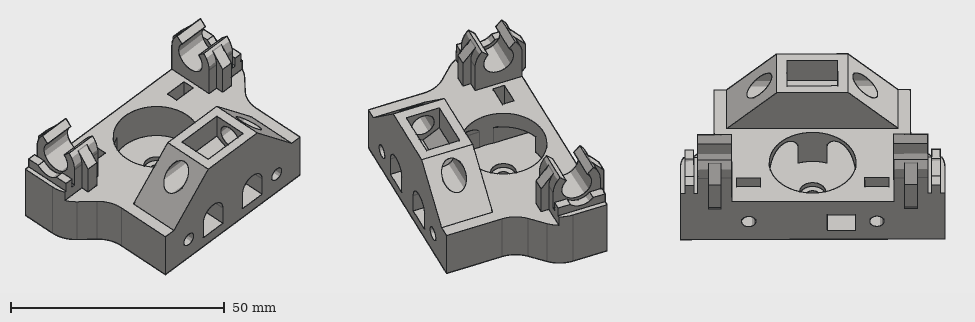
import cadquery as cq
import math

base_length = 37.5
base_height = 12.4
wide_half_width = 31.0
narrow_half_width = 23.0
taper_start_x = 12.0
taper_fillet = 8.0

rod_axis_z = 20.1
clip_width_x = 12.0
clip_outer_radius = clip_width_x / 2
rod_axis_x = clip_width_x / 2
rod_bore_radius = 3.8
clip_inner_y = 19.0
clip_outer_y = 27.0
end_block_height = 15.1
rib_height = 17.7
rib_inner_y = 27.85
rib_thickness = 2.05

lug_width = 3.0
lug_overhang = 2.0
lug_shoulder_z = 19.85
lug_tip_x = 1.55
lug_tip_z = 24.1
lug_foot_z = 10.0

gable_length = 13.0
gable_height = 11.7
gable_foot_half_width = 20.1
gable_x = base_length - gable_length / 2
gable_hole_radius = 2.9
gable_nut_flats = 8.45
gable_nut_length = 11.9

well_x = 13.0
well_radius = 10.15
well_floor_z = 2.9
floor_recess_radius = 3.05
floor_recess_depth = 1.25
floor_hole_radius = 1.6

channel_width = 6.65
channel_y = 6.7
channel_spring_z = 7.95

screw_y = 15.0
screw_z = 5.9
screw_radius = 1.7
screw_nut_flats = 5.65
screw_nut_thickness = 3.0
screw_nut_x = 5.0


def box(x_range, y_range, z_range):
    """Axis-aligned box given by its limits along X, Y and Z."""
    (x0, x1), (y0, y1), (z0, z1) = x_range, y_range, z_range
    return cq.Workplane("XY").box(x1 - x0, y1 - y0, z1 - z0, centered=False).translate((x0, y0, z0))


def cylinder(radius, start, direction, length):
    """Cylinder running from a start point along a direction."""
    return cq.Workplane(cq.Solid.makeCylinder(radius, length, cq.Vector(*start), cq.Vector(*direction)))


def extrude_along_y(sketch, y_start, y_end):
    """Extrude an XZ profile from y_start to y_end; the XZ plane normal is -Y."""
    return sketch.extrude(y_start - y_end).translate((0, y_start, 0))


def footprint(height):
    """Base outline extruded to a height, with rounded taper corners."""
    taper_end_x = taper_start_x + wide_half_width - narrow_half_width
    outline = [
        (0, wide_half_width),
        (taper_start_x, wide_half_width),
        (taper_end_x, narrow_half_width),
        (base_length, narrow_half_width),
        (base_length, -narrow_half_width),
        (taper_end_x, -narrow_half_width),
        (taper_start_x, -wide_half_width),
        (0, -wide_half_width),
    ]
    block = cq.Workplane("XY").polyline(outline).close().extrude(height)
    taper_corners = cq.selectors.BoxSelector(
        (taper_start_x / 2, -base_length, 0), ((taper_end_x + base_length) / 2, base_length, height)
    )
    return block.edges("|Z").edges(taper_corners).fillet(taper_fillet)


def lug():
    """Flat plate that follows the clip and stands out on both sides of it."""
    outer_x = clip_width_x + lug_overhang
    profile = [
        (0, lug_foot_z),
        (-lug_overhang, base_height),
        (-lug_overhang, lug_shoulder_z),
        (lug_tip_x, lug_tip_z),
        (clip_width_x - lug_tip_x, lug_tip_z),
        (outer_x, lug_shoulder_z),
        (outer_x, base_height),
        (clip_width_x, lug_foot_z),
    ]
    lug_y = (clip_inner_y + clip_outer_y) / 2
    sketch = cq.Workplane("XZ").polyline(profile).close()
    return extrude_along_y(sketch, lug_y - lug_width / 2, lug_y + lug_width / 2)


def clip_end():
    """Clip, lug, end block and rib on the +Y side, cut by the rod bore."""
    clip_sketch = (
        cq.Workplane("XZ")
        .lineTo(0, rod_axis_z)
        .threePointArc((rod_axis_x, rod_axis_z + clip_outer_radius), (clip_width_x, rod_axis_z))
        .lineTo(clip_width_x, 0)
        .close()
    )
    clip = extrude_along_y(clip_sketch, clip_inner_y, clip_outer_y)

    clip_x_range = (0, clip_width_x)
    end_block = box(clip_x_range, (clip_inner_y, wide_half_width), (0, end_block_height))
    rib = box(clip_x_range, (rib_inner_y, rib_inner_y + rib_thickness), (0, rib_height))
    end_walls = end_block.union(rib).intersect(footprint(rib_height))

    rod_bore = cylinder(rod_bore_radius, (rod_axis_x, 0, rod_axis_z), (0, 1, 0), wide_half_width)
    mouth_reach = 2 * clip_outer_radius
    mouth_sketch = (
        cq.Workplane("XZ")
        .moveTo(rod_axis_x, rod_axis_z)
        .lineTo(rod_axis_x - mouth_reach, rod_axis_z + mouth_reach)
        .lineTo(rod_axis_x + mouth_reach, rod_axis_z + mouth_reach)
        .close()
    )
    mouth = extrude_along_y(mouth_sketch, 0, wide_half_width)
    return clip.union(lug()).union(end_walls).cut(rod_bore).cut(mouth)


def gable():
    """Ridge with 45 degree ends standing on the narrow end of the base."""
    top_half_width = gable_foot_half_width - gable_height
    profile = [
        (-gable_foot_half_width, 0),
        (gable_foot_half_width, 0),
        (top_half_width, gable_height),
        (-top_half_width, gable_height),
    ]
    ridge = cq.Workplane("YZ").polyline(profile).close().extrude(gable_length)
    return ridge.translate((base_length - gable_length, 0, base_height))


def nut_trap(plane, flats, thickness, opening_height):
    """Hexagonal pocket, point down and centred on the origin, open upwards."""
    corner_radius = flats / math.sqrt(3)
    return (
        cq.Workplane(plane)
        .moveTo(0, -corner_radius)
        .lineTo(flats / 2, -corner_radius / 2)
        .lineTo(flats / 2, opening_height)
        .lineTo(-flats / 2, opening_height)
        .lineTo(-flats / 2, -corner_radius / 2)
        .close()
        .extrude(thickness / 2, both=True)
    )


def gable_cuts():
    """Cross hole through the gable and the nut trap at its middle."""
    hole_start = (gable_x, -gable_foot_half_width, rod_axis_z)
    hole = cylinder(gable_hole_radius, hole_start, (0, 1, 0), 2 * gable_foot_half_width)
    trap = nut_trap("XZ", gable_nut_flats, gable_nut_length, gable_height)
    return hole.union(trap.translate((gable_x, 0, rod_axis_z)))


def well_cuts():
    """Round well, its stepped floor hole, and the channels leading out of it."""
    up = (0, 0, 1)
    well = cylinder(well_radius, (well_x, 0, well_floor_z), up, base_height)
    recess_z = well_floor_z - floor_recess_depth
    recess = cylinder(floor_recess_radius, (well_x, 0, recess_z), up, well_floor_z)
    hole = cylinder(floor_hole_radius, (well_x, 0, 0), up, base_height)
    cuts = well.union(recess).union(hole)

    channel_length = base_length - well_x
    for side in (-1, 1):
        center_y = side * channel_y
        y_range = (center_y - channel_width / 2, center_y + channel_width / 2)
        straight_part = box((well_x, base_length), y_range, (well_floor_z, channel_spring_z))
        arch_start = (well_x, center_y, channel_spring_z)
        arch = cylinder(channel_width / 2, arch_start, (1, 0, 0), channel_length)
        cuts = cuts.union(straight_part).union(arch)

    window_y = (-channel_y - channel_width / 2, -channel_y + channel_width / 2)
    window = box((0, well_x), window_y, (well_floor_z, channel_spring_z))
    return cuts.union(window)


def screw_cuts(y):
    """Lengthwise screw hole and its nut trap open to the top of the base."""
    hole = cylinder(screw_radius, (0, y, screw_z), (1, 0, 0), base_length)
    trap = nut_trap("YZ", screw_nut_flats, screw_nut_thickness, base_height - screw_z)
    return hole.union(trap.translate((screw_nut_x + screw_nut_thickness / 2, y, screw_z)))


clip_on_plus_y = clip_end()
body = footprint(base_height).union(gable())
body = body.union(clip_on_plus_y).union(clip_on_plus_y.mirror("XZ"))
body = body.cut(gable_cuts()).cut(well_cuts())
for y in (-screw_y, screw_y):
    body = body.cut(screw_cuts(y))

result = body